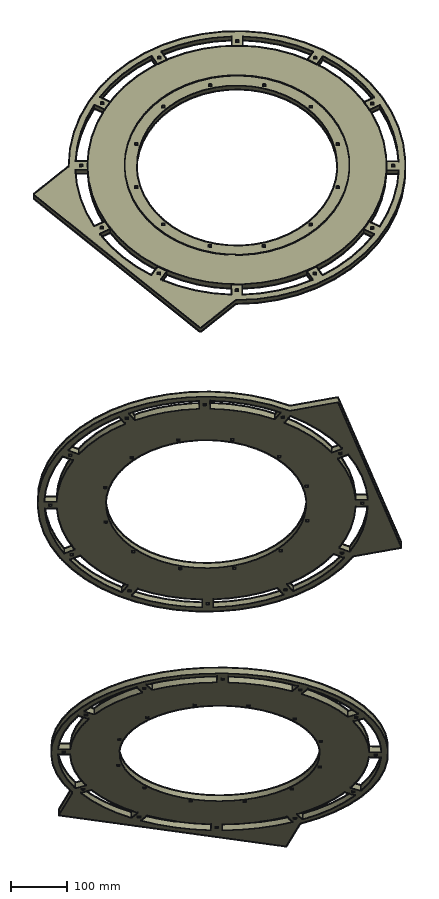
import cadquery as cq

plate_thickness = 12.0
total_thickness = 14.0
rim_diameter = 599.5
overall_length = 602.0
base_width = 421.0
base_corner_radius = 2.0
base_edge_y = rim_diameter / 2 - overall_length

raised_outer_diameter = 532.0
raised_inner_diameter = 400.0
bore_diameter = 356.0

window_outer_diameter = 575.5
tab_count = 12
tab_width = 20.0
tab_pitch = 360.0 / tab_count
first_tab_angle = tab_pitch / 2

hole_diameter = 5.5
tab_hole_circle_diameter = 555.0
bore_hole_circle_diameter = 371.0
bore_hole_count = 12


def cylinder(diameter, height):
    return cq.Workplane("XY").circle(diameter / 2).extrude(height)


def annulus(outer_diameter, inner_diameter, height):
    return cylinder(outer_diameter, height).cut(cylinder(inner_diameter, height))


def make_frame():
    """Round plate joined to its base, with small radii at the base corners."""
    base_depth = -base_edge_y
    base = (
        cq.Workplane("XY")
        .center(0, -base_depth / 2)
        .rect(base_width, base_depth)
        .extrude(plate_thickness)
    )
    frame = cylinder(rim_diameter, plate_thickness).union(base)
    corner_region = cq.selectors.BoxSelector(
        (-base_width, -2 * base_depth, 0),
        (base_width, -base_depth / 2, plate_thickness),
    )
    return frame.edges("|Z").edges(corner_region).fillet(base_corner_radius)


def make_windows():
    """Annulus outside the raised ring, less the tabs that cross it."""
    windows = annulus(window_outer_diameter, raised_outer_diameter, plate_thickness)
    tab_length = rim_diameter / 2
    tab = (
        cq.Workplane("XY")
        .center(tab_length / 2, 0)
        .rect(tab_length, tab_width)
        .extrude(plate_thickness)
    )
    for index in range(tab_count):
        angle = first_tab_angle + index * tab_pitch
        windows = windows.cut(tab.rotate((0, 0, 0), (0, 0, 1), angle))
    return windows


def make_holes(circle_diameter, count, start_angle):
    """Cutters for through holes evenly spaced on a circle."""
    return (
        cq.Workplane("XY")
        .polarArray(circle_diameter / 2, start_angle, 360, count)
        .circle(hole_diameter / 2)
        .extrude(total_thickness)
    )


raised_ring = annulus(raised_outer_diameter, raised_inner_diameter, total_thickness)

result = (
    make_frame()
    .cut(make_windows())
    .union(raised_ring)
    .cut(cylinder(bore_diameter, total_thickness))
    .cut(make_holes(tab_hole_circle_diameter, tab_count, first_tab_angle))
    .cut(make_holes(bore_hole_circle_diameter, bore_hole_count, 0))
)